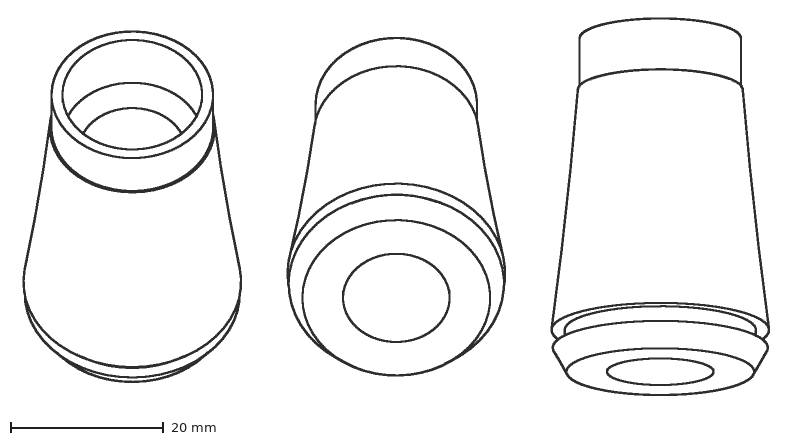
import cadquery as cq

total_height = 45.0
lip_height = 3.25
sleeve_base = 5.62
sleeve_middle = 18.0
shoulder_height = 38.05

base_radius = 12.3
lip_radius = 14.1
groove_radius = 12.5
sleeve_base_diameter = 28.5
sleeve_base_radius = sleeve_base_diameter / 2
sleeve_middle_radius = 12.75
sleeve_top_radius = 10.8
neck_radius = 10.58

socket_radius = 9.15
socket_depth = 9.0
bore_radius = 6.98
funnel_depth = 2.6


def outer_body():
    """Solid of revolution: tapered lip, groove, curved sleeve and straight neck."""
    profile = (
        cq.Workplane("XZ")
        .lineTo(base_radius, 0)
        .lineTo(lip_radius, lip_height)
        .lineTo(groove_radius, lip_height)
        .lineTo(groove_radius, sleeve_base)
        .lineTo(sleeve_base_radius, sleeve_base)
        .threePointArc((sleeve_middle_radius, sleeve_middle), (sleeve_top_radius, shoulder_height))
        .lineTo(neck_radius, shoulder_height)
        .lineTo(neck_radius, total_height)
        .lineTo(0, total_height)
        .close()
    )
    return profile.revolve(360, (0, 0), (0, 1))


def bore():
    """Socket at the top, short funnel below it, then a straight bore through the base."""
    socket_floor = total_height - socket_depth
    profile = (
        cq.Workplane("XZ")
        .lineTo(bore_radius, 0)
        .lineTo(bore_radius, socket_floor - funnel_depth)
        .lineTo(socket_radius, socket_floor)
        .lineTo(socket_radius, total_height)
        .lineTo(0, total_height)
        .close()
    )
    return profile.revolve(360, (0, 0), (0, 1))


result = outer_body().cut(bore())